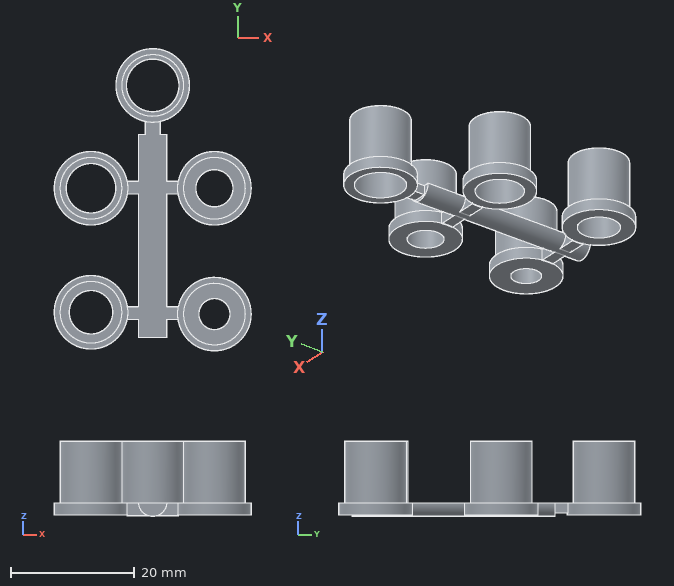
import cadquery as cq

flange_radius = 6.0
flange_height = 2.0
sleeve_radius = 5.0
sleeve_height = 10.0

column_x = 10.0
middle_row_y = -16.7
lower_left_y = -36.8
lower_right_y = -37.1
bushing_places = [
    (0, 0, 8.5),
    (-column_x, middle_row_y, 8.0),
    (column_x, middle_row_y, 6.0),
    (-column_x, lower_left_y, 7.0),
    (column_x, lower_right_y, 5.0),
]

bar_width = 4.6
bar_depth = 2.2
bar_start_y = -7.95
bar_end_y = -40.95
side_gate_width = 2.1
side_gate_depth = 2.1
side_gate_rows_y = [-16.6, -36.95]
end_gate_width = 2.5
end_gate_depth = 1.65


def make_bushing(x, y, bore_diameter):
    """Sleeve standing on a wider flange, bored right through."""
    flange = cq.Workplane("XY").circle(flange_radius).extrude(-flange_height)
    sleeve = cq.Workplane("XY").circle(sleeve_radius).extrude(sleeve_height)
    bore = (
        cq.Workplane("XY", origin=(0, 0, -flange_height))
        .circle(bore_diameter / 2)
        .extrude(flange_height + sleeve_height)
    )
    return flange.union(sleeve).cut(bore).translate((x, y, 0))


def make_bar():
    """Bar with a flat top and an arc-shaped underside, running along Y."""
    return (
        cq.Workplane("XZ", origin=(0, bar_start_y, 0))
        .moveTo(-bar_width / 2, 0)
        .threePointArc((0, -bar_depth), (bar_width / 2, 0))
        .close()
        .extrude(bar_start_y - bar_end_y)
    )


def make_gate(length_x, length_y, depth, center_y):
    """Rectangular gate hanging down from the flat top of the runner."""
    return (
        cq.Workplane("XY", origin=(0, center_y, 0))
        .rect(length_x, length_y)
        .extrude(-depth)
    )


def make_runner():
    """Bar and gates, with the gate ends shaped to the flange rims."""
    runner = make_bar()
    for row_y in side_gate_rows_y:
        runner = runner.union(make_gate(2 * column_x, side_gate_width, side_gate_depth, row_y))
    end_gate_length = -bar_start_y
    end_gate = make_gate(end_gate_width, end_gate_length, end_gate_depth, bar_start_y / 2)
    runner = runner.union(end_gate)
    for x, y, _ in bushing_places:
        flange_space = (
            cq.Workplane("XY", origin=(x, y, 0))
            .circle(flange_radius)
            .extrude(-max(bar_depth, side_gate_depth))
        )
        runner = runner.cut(flange_space)
    return runner


bushings = [make_bushing(x, y, bore) for x, y, bore in bushing_places]
runner = make_runner()

result = cq.Compound.makeCompound([runner.val(), *[bushing.val() for bushing in bushings]])